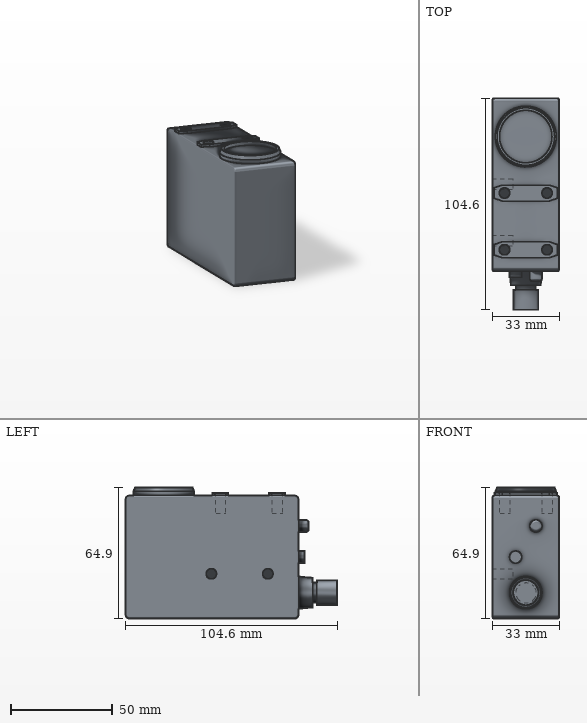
import cadquery as cq

total_length = 104.6
total_height = 64.9
connector_length = 19.0
lens_height = 4.0
body_width = 33.0
body_length = total_length - connector_length
body_height = total_height - lens_height
end_edge_radius = 2.0
side_edge_radius = 0.9

lens_from_back = 18.9
lens_radius = 15.1
lens_rim_radius = 14.2
lens_straight_height = 2.0
lens_recess_radius = 13.0
lens_recess_depth = 2.0

pad_positions = (10.7, 38.7)
pad_length = body_width - 2 * side_edge_radius
pad_width = 8.0
pad_end_width = 5.2
pad_taper_length = 4.0
pad_thickness = 1.3

hole_diameter = 5.1
pad_hole_spacing = 21.0
hole_depth = 10.0
side_hole_positions = (15.2, 43.1)
side_hole_height = 22.2

knob_radius = 3.0
knob_offset = 5.0
knob_length = 5.0
knob_height = 45.8
knob_tip_radius = 1.5
indicator_length = 3.0
indicator_height = 30.4

connector_height = 12.9
collar_root_radius = 8.1
collar_tip_radius = 7.4
collar_length = 6.9
neck_radius = 5.0
neck_end = 9.1
plug_radius = 6.2


def make_housing():
    box = cq.Workplane("XY").box(body_width, body_length, body_height, centered=(True, False, False))
    return box.edges("|X").fillet(end_edge_radius).faces("<X or >X").edges().fillet(side_edge_radius)


def make_lens():
    profile = [
        (0, 0),
        (lens_radius, 0),
        (lens_radius, lens_straight_height),
        (lens_rim_radius, lens_height),
        (lens_recess_radius, lens_height),
        (lens_recess_radius, lens_height - lens_recess_depth),
        (0, lens_height - lens_recess_depth),
    ]
    ring = cq.Workplane("XZ").polyline(profile).close().revolve(360, (0, 0), (0, 1))
    return ring.translate((0, body_length - lens_from_back, body_height))


def make_pad(y):
    half_length = pad_length / 2
    half_width = pad_width / 2
    half_end = pad_end_width / 2
    shoulder = half_length - pad_taper_length
    outline = [
        (-half_length, -half_end),
        (-shoulder, -half_width),
        (shoulder, -half_width),
        (half_length, -half_end),
        (half_length, half_end),
        (shoulder, half_width),
        (-shoulder, half_width),
        (-half_length, half_end),
    ]
    pad = cq.Workplane("XY").polyline(outline).close().extrude(pad_thickness)
    return pad.translate((0, y, body_height))


def make_pad_holes(y):
    top = body_height + pad_thickness
    holes = cq.Workplane("XY", origin=(0, y, top)).rarray(pad_hole_spacing, 1, 2, 1)
    return holes.circle(hole_diameter / 2).extrude(-hole_depth)


def make_side_hole(y):
    start = (-body_width / 2, y, side_hole_height)
    return cq.Workplane("YZ", origin=start).circle(hole_diameter / 2).extrude(hole_depth)


def make_front_cylinder(x, z, radius, length):
    return cq.Workplane("XZ", origin=(x, 0, z)).circle(radius).extrude(length)


def make_connector():
    profile = [
        (0, 0),
        (collar_root_radius, 0),
        (collar_tip_radius, -collar_length),
        (neck_radius, -collar_length),
        (neck_radius, -neck_end),
        (plug_radius, -neck_end),
        (plug_radius, -connector_length),
        (0, -connector_length),
    ]
    turned = cq.Workplane("XY").polyline(profile).close().revolve(360, (0, 0), (0, 1))
    return turned.translate((0, 0, connector_height))


indicator = make_front_cylinder(-knob_offset, indicator_height, knob_radius, indicator_length)
knob = make_front_cylinder(knob_offset, knob_height, knob_radius, knob_length)
knob = knob.faces("<Y").edges().fillet(knob_tip_radius)

result = make_housing().union(make_lens()).union(make_connector()).union(indicator).union(knob)

for pad_y in pad_positions:
    result = result.union(make_pad(pad_y)).cut(make_pad_holes(pad_y))

for hole_y in side_hole_positions:
    result = result.cut(make_side_hole(hole_y))